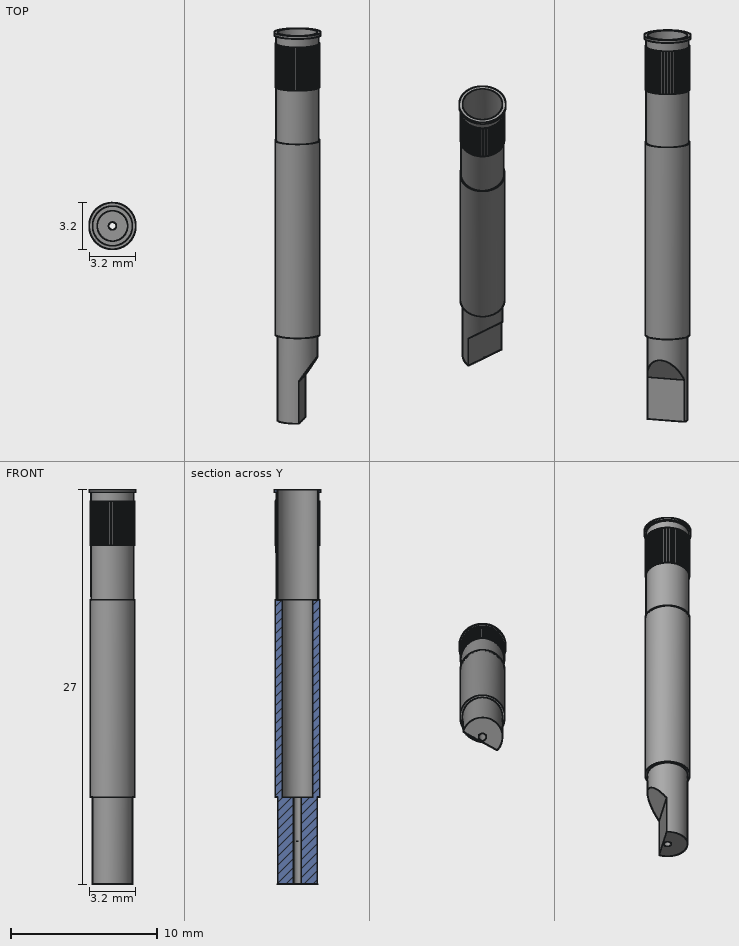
import cadquery as cq

LENGTH = 27.0
FLANGE_THICKNESS = 0.2
KNURL_TOP = 26.22
KNURL_BOTTOM = 23.2
SLEEVE_TOP = 19.47
SLEEVE_BOTTOM = 5.97

FLANGE_DIAMETER = 3.2
KNURL_DIAMETER = 3.02
BODY_DIAMETER = 2.95
SLEEVE_DIAMETER = 3.08
TIP_DIAMETER = 2.75

MOUTH_DIAMETER = 2.73
MIDDLE_DIAMETER = 2.08
THROUGH_DIAMETER = 0.5
MOUTH_FLOOR = SLEEVE_TOP
MIDDLE_FLOOR = SLEEVE_BOTTOM

RIB_COUNT = 45
FIRST_RIB_ANGLE = -90
RIB_WIDTH = 0.14

FLAT_Y = 0.32
FLAT_TOP = 2.95
RAMP_TOP = 4.45


def turned_solid(steps):
    """Solid of revolution about Z, built upwards from (diameter, top) steps."""
    points = [(0, 0)]
    bottom = 0
    for diameter, top in steps:
        points += [(diameter / 2, bottom), (diameter / 2, top)]
        bottom = top
    points.append((0, bottom))
    return cq.Workplane("XZ").polyline(points).close().revolve(360, (0, 0), (0, 1))


def make_body():
    return turned_solid([
        (TIP_DIAMETER, SLEEVE_BOTTOM),
        (SLEEVE_DIAMETER, SLEEVE_TOP),
        (BODY_DIAMETER, LENGTH - FLANGE_THICKNESS),
        (FLANGE_DIAMETER, LENGTH),
    ])


def make_bore():
    return turned_solid([
        (THROUGH_DIAMETER, MIDDLE_FLOOR),
        (MIDDLE_DIAMETER, MOUTH_FLOOR),
        (MOUTH_DIAMETER, LENGTH),
    ])


def make_ribs():
    """Straight ribs sunk into the body wall, so that they join it firmly."""
    foot_radius = (BODY_DIAMETER + MOUTH_DIAMETER) / 4
    rib_height = KNURL_DIAMETER / 2 - foot_radius
    return (
        cq.Workplane("XY", origin=(0, 0, KNURL_BOTTOM))
        .polarArray(foot_radius + rib_height / 2, FIRST_RIB_ANGLE, 360, RIB_COUNT)
        .rect(rib_height, RIB_WIDTH)
        .extrude(KNURL_TOP - KNURL_BOTTOM)
    )


def make_tip_cut():
    """Everything beyond the flat and the ramp, as one prism wider than the tip."""
    ramp_slope = (RAMP_TOP - FLAT_TOP) / (TIP_DIAMETER / 2 - FLAT_Y)
    outside = TIP_DIAMETER
    ramp_end = FLAT_TOP + ramp_slope * (outside - FLAT_Y)
    return (
        cq.Workplane("YZ")
        .polyline([(FLAT_Y, 0), (FLAT_Y, FLAT_TOP), (outside, ramp_end), (outside, 0)])
        .close()
        .extrude(TIP_DIAMETER, both=True)
    )


result = make_body().union(make_ribs()).cut(make_bore()).cut(make_tip_cut())